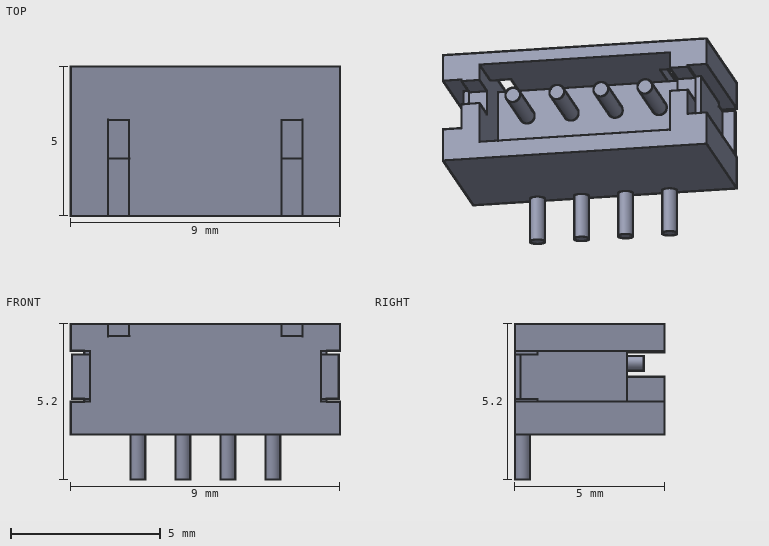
import cadquery as cq

length = 9.0
depth = 5.0
height = 3.7

side_wall = 1.25
back_wall = 1.93
roof = 0.41
floor = 0.58

slot_width = 0.7
slot_length = 3.21

channel_depth = 0.64
channel_bottom = 1.1
channel_top = 2.8
channel_height = channel_top - channel_bottom

clip_thickness = 0.19
plate_end = 3.74
neck_length = 0.76
neck_bottom = 1.19
neck_height = 1.49
foot_edge = 0.04

window_bottom = 1.935
window_top = 2.745

pin_count = 4
pin_pitch = 1.5
pin_diameter = 0.5
pin_drop = 1.5
pin_tip = 4.31
contact_height = 2.38


def box(x, y, z, x_size, y_size, z_size):
    """Box whose lowest corner is at (x, y, z)."""
    return cq.Workplane("XY").box(x_size, y_size, z_size, centered=False).translate((x, y, z))


def mirrored(body):
    """The same body on the opposite side of the housing."""
    return body.mirror("YZ", (length / 2, 0, 0))


def cut_on_both_sides(body, tool):
    return body.cut(tool).cut(mirrored(tool))


def make_pin(x):
    """Contact in the cavity and solder tail below, both rooted in the back of the housing."""
    radius = pin_diameter / 2
    contact = cq.Solid.makeCylinder(
        radius, pin_tip - radius, cq.Vector(x, radius, contact_height), cq.Vector(0, 1, 0)
    )
    tail = cq.Solid.makeCylinder(
        radius, pin_drop + contact_height, cq.Vector(x, radius, -pin_drop), cq.Vector(0, 0, 1)
    )
    return cq.Workplane(obj=contact).union(cq.Workplane(obj=tail))


def make_housing():
    """Housing with its four contact pins moulded in as one solid."""
    body = box(0, 0, 0, length, depth, height)
    cavity = box(
        side_wall, back_wall, floor,
        length - 2 * side_wall, depth - back_wall, height - roof - floor,
    )
    body = body.cut(cavity)

    slot = box(side_wall, 0, height - roof, slot_width, slot_length, roof)
    body = cut_on_both_sides(body, slot)

    channel = box(0, 0, channel_bottom, channel_depth, depth, channel_height)
    body = cut_on_both_sides(body, channel)

    window = box(0, plate_end, window_bottom, side_wall, depth - plate_end, window_top - window_bottom)
    body = cut_on_both_sides(body, window)

    first_pin = (length - (pin_count - 1) * pin_pitch) / 2
    for index in range(pin_count):
        body = body.union(make_pin(first_pin + index * pin_pitch))
    return body


def make_clip():
    """L-shaped clip: plate filling the channel height, narrower neck and outward foot."""
    plate_x = channel_depth - clip_thickness
    plate = box(
        plate_x, neck_length, channel_bottom,
        clip_thickness, plate_end - neck_length, channel_height,
    )
    neck = box(plate_x, 0, neck_bottom, clip_thickness, neck_length, neck_height)
    foot = box(foot_edge, 0, neck_bottom, channel_depth - foot_edge, clip_thickness, neck_height)
    return plate.union(neck).union(foot)


housing = make_housing()
left_clip = make_clip()
clips = []
for clip in (left_clip, mirrored(left_clip)):
    clips.append(clip.val())

result = cq.Compound.makeCompound([housing.val(), *clips])